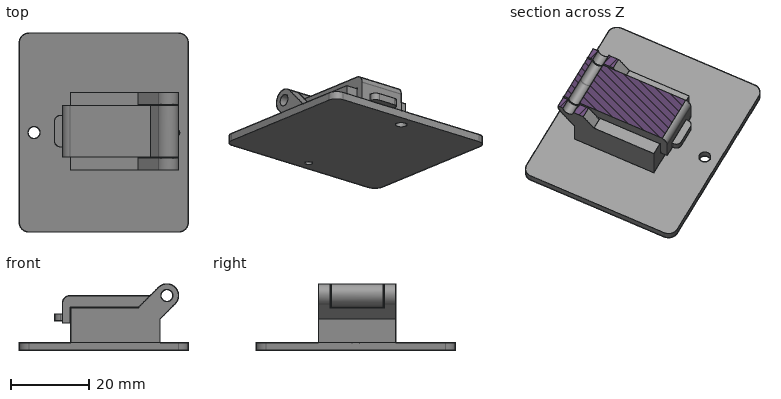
import cadquery as cq
import math

PLATE_LENGTH = 43.2
PLATE_WIDTH = 50.8
PLATE_THICKNESS = 2.0
PLATE_CORNER_RADIUS = 2.55
MOUNT_HOLE_DIAMETER = 3.0
MOUNT_HOLE_X = -17.8
REAR_HOLE_DIAMETER = 2.0
REAR_HOLE_X = 18.35

TOTAL_HEIGHT = 16.95
HINGE_RADIUS = 3.0
HINGE_X = 16.1
HINGE_Z = TOTAL_HEIGHT - HINGE_RADIUS
HINGE_HOLE_DIAMETER = 3.0
ARM_OFFSET = HINGE_RADIUS * math.sqrt(0.5)

CENTRE_Y = 0.35
BLOCK_WIDTH = 19.8
BLOCK_FRONT_X = -8.45
BLOCK_BACK_X = 14.4
CLEARANCE = 0.15
SIDE_CLEARANCE = 0.25

LID_WIDTH = 13.2
LID_LIP_THICKNESS = 2.0
LID_BOTTOM_Z = 6.95
LID_ROUND_RADIUS = 2.0
LID_TOP_Z = HINGE_Z
LID_UNDERSIDE_Z = HINGE_Z - HINGE_RADIUS
LID_INNER_X = BLOCK_FRONT_X - CLEARANCE
LID_FRONT_X = LID_INNER_X - LID_LIP_THICKNESS
BLOCK_TOP_Z = LID_UNDERSIDE_Z - CLEARANCE
EAR_SLOT_WIDTH = LID_WIDTH + 2 * SIDE_CLEARANCE

TAB_LENGTH = 2.0
TAB_WIDTH = 8.05
TAB_THICKNESS = 1.8
TAB_BOTTOM_Z = 7.5
TAB_CORNER_RADIUS = 1.45

UPPER_TANGENT = (HINGE_X - ARM_OFFSET, HINGE_Z + ARM_OFFSET)
LOWER_TANGENT = (HINGE_X + ARM_OFFSET, HINGE_Z - ARM_OFFSET)
BARREL_BACK_POINT = (HINGE_X + HINGE_RADIUS, HINGE_Z)
BARREL_BOTTOM_POINT = (HINGE_X, LID_UNDERSIDE_Z)


def upper_side_x(z):
    """X of the arm's upper 45 degree side at height z."""
    return UPPER_TANGENT[0] - UPPER_TANGENT[1] + z


def lower_side_z(x):
    """Height of the arm's lower 45 degree side at x."""
    return LOWER_TANGENT[1] - LOWER_TANGENT[0] + x


def side_sketch():
    """XZ workplane through the middle of the block and lid."""
    return cq.Workplane("XZ", origin=(0, CENTRE_Y, 0))


def hinge_bore():
    """Cylinder that clears the hinge hole through the ears and lid."""
    return (
        side_sketch()
        .center(HINGE_X, HINGE_Z)
        .circle(HINGE_HOLE_DIAMETER / 2)
        .extrude(BLOCK_WIDTH, both=True)
    )


def make_plate():
    """Rounded plate with its two vertical through holes."""
    plate = (
        cq.Workplane("XY")
        .box(PLATE_LENGTH, PLATE_WIDTH, PLATE_THICKNESS, centered=(True, True, False))
        .edges("|Z")
        .fillet(PLATE_CORNER_RADIUS)
    )
    for x, diameter in ((MOUNT_HOLE_X, MOUNT_HOLE_DIAMETER), (REAR_HOLE_X, REAR_HOLE_DIAMETER)):
        hole = cq.Workplane("XY").center(x, 0).circle(diameter / 2).extrude(PLATE_THICKNESS)
        plate = plate.cut(hole)
    return plate


def make_block():
    """Block whose back rises into two hinge ears with a slot between them."""
    block = (
        side_sketch()
        .moveTo(BLOCK_FRONT_X, PLATE_THICKNESS)
        .lineTo(BLOCK_FRONT_X, BLOCK_TOP_Z)
        .lineTo(upper_side_x(BLOCK_TOP_Z), BLOCK_TOP_Z)
        .lineTo(*UPPER_TANGENT)
        .threePointArc(BARREL_BACK_POINT, LOWER_TANGENT)
        .lineTo(BLOCK_BACK_X, lower_side_z(BLOCK_BACK_X))
        .lineTo(BLOCK_BACK_X, PLATE_THICKNESS)
        .close()
        .extrude(BLOCK_WIDTH / 2, both=True)
    )
    ear_slot = cq.Workplane("XY", origin=(0, CENTRE_Y, BLOCK_TOP_Z)).box(
        PLATE_LENGTH, EAR_SLOT_WIDTH, TOTAL_HEIGHT, centered=(True, True, False)
    )
    return block.cut(ear_slot).cut(hinge_bore())


def make_base():
    """Plate and hinge block as one body."""
    return make_plate().union(make_block())


def make_tab():
    """Finger tab with rounded front corners, rooted through the lip's thickness."""
    return (
        cq.Workplane("XY", origin=(LID_FRONT_X - TAB_LENGTH, CENTRE_Y, TAB_BOTTOM_Z))
        .box(TAB_LENGTH + LID_LIP_THICKNESS, TAB_WIDTH, TAB_THICKNESS, centered=(False, True, False))
        .edges("|Z and <X")
        .fillet(TAB_CORNER_RADIUS)
    )


def make_lid():
    """Lid with a front lip, a finger tab and a hinge barrel that meets its underside."""
    lid = (
        side_sketch()
        .moveTo(LID_FRONT_X, LID_BOTTOM_Z)
        .lineTo(LID_FRONT_X, LID_TOP_Z - LID_ROUND_RADIUS)
        .radiusArc((LID_FRONT_X + LID_ROUND_RADIUS, LID_TOP_Z), LID_ROUND_RADIUS)
        .lineTo(upper_side_x(LID_TOP_Z), LID_TOP_Z)
        .lineTo(*UPPER_TANGENT)
        .threePointArc(BARREL_BACK_POINT, BARREL_BOTTOM_POINT)
        .lineTo(LID_INNER_X, LID_UNDERSIDE_Z)
        .lineTo(LID_INNER_X, LID_BOTTOM_Z)
        .close()
        .extrude(LID_WIDTH / 2, both=True)
    )
    return lid.union(make_tab()).cut(hinge_bore())


base = make_base()
lid = make_lid()

result = cq.Compound.makeCompound([base.solids().val(), lid.solids().val()])